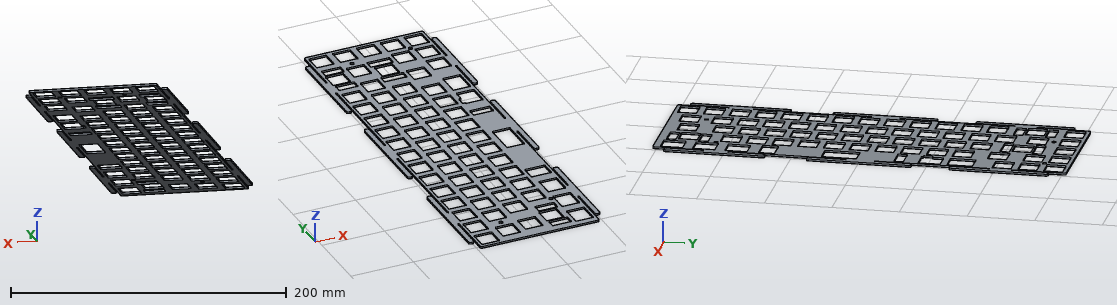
import cadquery as cq

UNIT = 19.05
ROWS = 5
UNITS_LONG = 16
THICKNESS = 1.5
PLATE_LENGTH = 305.75
PLATE_CORNER = 1.5
OVERALL_WIDTH = 104.9
TAB_REACH = 5.0
PLATE_WIDTH = OVERALL_WIDTH - 2 * TAB_REACH

SWITCH = 14.0
CUTOUT_CORNER = 0.5

STAB_WIDTH = 7.0
STAB_FAR = 9.0
STAB_NEAR = 6.1
STAB_PITCH_2U = 0.625
STAB_PITCH_SPACE_6U = 2.625
STAB_PITCH_SPACE_7U = 3.0

TAB_GAP = 1.0
TAB_CORNER = 1.7
TABS = [
    (103.9, 73.2, 104.6, 17.5),
    (0.4, 77.5, 0.9, 22.2),
    (-106.6, 74.6, -105.9, 19.0),
]

SCREW_DIAMETER = 2.9
SCREW_HOLES = [(-UNIT, 131.0), (-UNIT, -126.0), (1.5 * UNIT, 133.5), (1.5 * UNIT, -109.5)]

NUMBER_ROW = [0.5, 2.0] + [3.5 + i for i in range(13)]
UPPER_ROW = [0.5, 1.75] + [3.0 + i for i in range(12)] + [15.25]
HOME_ROW = [0.5, 2.125] + [3.75 + i for i in range(11)] + [15.125]
LOWER_ROW = [0.5, 1.5, 2.875] + [4.25 + i for i in range(10)] + [14.875]
KEY_ROWS = [NUMBER_ROW, UPPER_ROW, HOME_ROW, LOWER_ROW]
BOTTOM_ROW = [0.5, 1.5, 2.5]

SPACE_6U = 9.125
SPACE_7U = 8.5
MERGED_KEYS = [
    (4.0, 4.25),
    (5.25, 5.375),
    (SPACE_7U, SPACE_6U),
    (12.75, 12.875),
    (14.0, 14.125),
    (15.25, 15.375),
]


def row_x(row):
    return (row - (ROWS - 1) / 2) * UNIT


def key_y(units):
    return (UNITS_LONG / 2 - units) * UNIT


def block(x_min, x_max, y_min, y_max):
    """Box through the full plate thickness."""
    size_x = x_max - x_min
    size_y = y_max - y_min
    box = cq.Workplane("XY").box(size_x, size_y, THICKNESS)
    return box.translate(((x_min + x_max) / 2, (y_min + y_max) / 2, 0))


def cutout_block(x_min, x_max, y_min, y_max):
    """Block with rounded corners, for cutting a rectangular opening."""
    return block(x_min, x_max, y_min, y_max).edges("|Z").fillet(CUTOUT_CORNER)


def switch_cutout(row, first, last):
    """Switch opening stretched to cover key centres from first to last."""
    x = row_x(row)
    half = SWITCH / 2
    return cutout_block(x - half, x + half, key_y(last) - half, key_y(first) + half)


def stabilizer_cutout(row, units, reach_minus_x, reach_plus_x):
    """Stabilizer opening with its own reach to either side of the row centre."""
    x = row_x(row)
    y = key_y(units)
    half = STAB_WIDTH / 2
    return cutout_block(x - reach_minus_x, x + reach_plus_x, y - half, y + half)


def mounting_tab(side, tab_y, tab_length, bridge_y, bridge_length):
    """Tab beside the plate edge with its bridge; side is -1 or +1 in X."""
    edge = PLATE_WIDTH / 2
    tab_width = TAB_REACH - TAB_GAP
    tab = cq.Workplane("XY").box(tab_width, tab_length, THICKNESS).edges("|Z").fillet(TAB_CORNER)
    tab = tab.translate((edge + TAB_GAP + tab_width / 2, tab_y, 0))
    bridge_half = bridge_length / 2
    bridge = block(
        edge - TAB_GAP,
        edge + TAB_GAP + tab_width / 2,
        bridge_y - bridge_half,
        bridge_y + bridge_half,
    )
    slit_ends = [(edge + TAB_GAP / 2, bridge_y + end * bridge_half) for end in (-1, 1)]
    bridge = bridge.cut(
        cq.Workplane("XY").pushPoints(slit_ends).circle(TAB_GAP / 2).extrude(THICKNESS, both=True)
    )
    tab = tab.union(bridge)
    return tab if side > 0 else tab.mirror("YZ")


def all_cutouts():
    """Cutting solids for every switch and stabilizer."""
    cutouts = []
    for row, centres in enumerate(KEY_ROWS):
        cutouts += [switch_cutout(row, units, units) for units in centres]
    bottom = len(KEY_ROWS)
    cutouts += [switch_cutout(bottom, units, units) for units in BOTTOM_ROW]
    cutouts += [switch_cutout(bottom, first, last) for first, last in MERGED_KEYS]

    for end in (-1, 1):
        offset = end * STAB_PITCH_2U
        cutouts.append(stabilizer_cutout(0, NUMBER_ROW[1] + offset, STAB_NEAR, STAB_FAR))
        cutouts.append(stabilizer_cutout(2, HOME_ROW[1] + offset, STAB_FAR, STAB_FAR))
        cutouts.append(stabilizer_cutout(3, LOWER_ROW[-1] + offset, STAB_NEAR, STAB_FAR))
        for space, pitch in ((SPACE_6U, STAB_PITCH_SPACE_6U), (SPACE_7U, STAB_PITCH_SPACE_7U)):
            cutouts.append(stabilizer_cutout(bottom, space + end * pitch, STAB_FAR, SWITCH / 2))
    return cutouts


plate = cq.Workplane("XY").box(PLATE_WIDTH, PLATE_LENGTH, THICKNESS)
plate = plate.edges("|Z").fillet(PLATE_CORNER)
for tab_data in TABS:
    for side in (-1, 1):
        plate = plate.union(mounting_tab(side, *tab_data))
cutout_solids = [cutout.val() for cutout in all_cutouts()]
plate = cq.Workplane(plate.val().cut(*cutout_solids))
screw_holes = (
    cq.Workplane("XY").pushPoints(SCREW_HOLES).circle(SCREW_DIAMETER / 2).extrude(THICKNESS, both=True)
)
result = plate.cut(screw_holes)